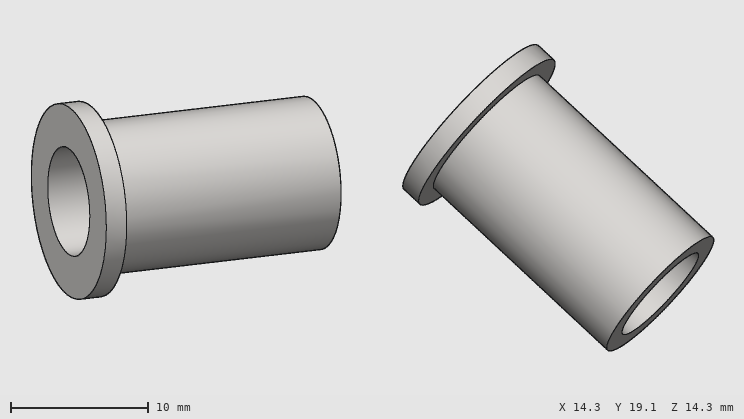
import cadquery as cq

length = 19.05
flange_diameter = 14.29
flange_thickness = 1.6
barrel_diameter = 11.2
bore_diameter = 8.0

front_face = cq.Workplane("XZ", origin=(0, -length / 2, 0))

flange = front_face.circle(flange_diameter / 2).extrude(-flange_thickness)
barrel = front_face.circle(barrel_diameter / 2).extrude(-length)
bore = front_face.circle(bore_diameter / 2).extrude(-length)

result = flange.union(barrel).cut(bore)